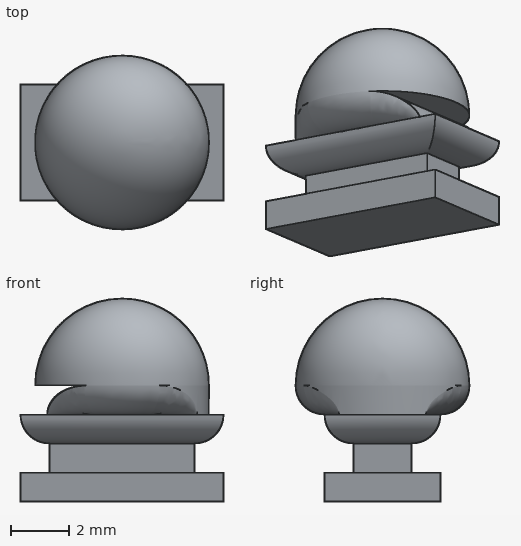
import cadquery as cq
import math

step = 1.0
length = 7.0
width = 4.0
neck_length = length - 2 * step
neck_width = width - 2 * step

drum_radius = 3.0
drum_bottom = 3 * step
drum_top = drum_bottom + step

undercut_angle = math.radians(60)
undercut_half_length = drum_radius * math.sin(undercut_angle)
flat_half_length = 1.3
ellipse_reach = undercut_half_length - flat_half_length

cove_tip = 2.58
cove_flat = 1.25

tip_turn = math.radians(1.8)
fade_sections = 8


def slab(slab_length, slab_width, bottom):
    """Centred rectangular block one step tall."""
    block = cq.Workplane().box(slab_length, slab_width, step, centered=(True, True, False))
    return block.translate((0, 0, bottom))


def rounded_profile(plane, span, depth):
    """Prism whose lower two edges are rounded over the full step height."""
    half = span / 2
    top = drum_bottom
    return (
        cq.Workplane(plane)
        .moveTo(-half, top)
        .radiusArc((-half + step, top - step), -step)
        .lineTo(half - step, top - step)
        .radiusArc((half, top), -step)
        .close()
        .extrude(depth, both=True)
    )


def rounded_plate():
    """Plate with rounded lower edges that meet in mitred corners."""
    return rounded_profile("XZ", length, length).intersect(rounded_profile("YZ", width, length))


def undercut_section(x, height):
    """Radial section outside a rounded lower edge whose radius equals the height."""
    angle = math.asin(x / drum_radius)

    def at(radius, rise):
        """Point in the radial plane, measured from the drum axis and bottom."""
        return cq.Vector(radius * math.sin(angle), -radius * math.cos(angle), drum_bottom + rise)

    floor_start = at(drum_radius - height, 0)
    wall_end = at(drum_radius, height)
    diagonal = height * math.sqrt(0.5)
    arc_middle = at(drum_radius - height + diagonal, height - diagonal)
    outer_top = at(drum_radius + height, height)
    outer_bottom = at(drum_radius + height, 0)
    return cq.Wire.assembleEdges([
        cq.Edge.makeThreePointArc(floor_start, arc_middle, wall_end),
        cq.Edge.makeLine(wall_end, outer_top),
        cq.Edge.makeLine(outer_top, outer_bottom),
        cq.Edge.makeLine(outer_bottom, floor_start),
    ])


def side_undercut():
    """Tool that rounds the lower drum edge on -Y: constant in the middle, fading at both ends."""
    sections = []
    for index in range(fade_sections + 1):
        turn = math.pi / 2 + (tip_turn - math.pi / 2) * index / fade_sections
        x = flat_half_length + ellipse_reach * math.cos(turn)
        sections.append(undercut_section(x, step * math.sin(turn)))
    right_end = cq.Workplane(cq.Solid.makeLoft(sections))

    flat_angle = 2 * math.degrees(math.asin(flat_half_length / drum_radius))
    first_face = cq.Face.makeFromWires(undercut_section(-flat_half_length, step))
    axis_start = cq.Vector(0, 0, 0)
    axis_end = cq.Vector(0, 0, 1)
    middle = cq.Workplane(cq.Solid.revolve(first_face, flat_angle, axis_start, axis_end))
    return [middle, right_end, right_end.mirror("YZ")]


def end_cove():
    """Tool that hollows the -X side of the drum up to the underside of the dome."""
    depth = drum_radius - cove_flat
    block = cq.Workplane().box(depth, 2 * drum_radius, step, centered=(False, True, False))
    elliptic_core = (
        cq.Workplane("XZ")
        .center(-cove_flat, drum_bottom)
        .ellipse(cove_tip - cove_flat, step)
        .extrude(drum_radius, both=True)
    )
    return block.translate((-drum_radius, 0, drum_bottom)).cut(elliptic_core)


def drum():
    """Short cylinder undercut along both long sides and hollowed at the -X end."""
    body = cq.Workplane().circle(drum_radius).extrude(step).translate((0, 0, drum_bottom))
    body = body.cut(end_cove())
    for undercut in side_undercut():
        body = body.cut(undercut).cut(undercut.mirror("XZ"))
    return body


def dome():
    """Upper half of a sphere resting on the drum."""
    return cq.Workplane().sphere(drum_radius, angle1=0).translate((0, 0, drum_top))


result = slab(length, width, 0).union(slab(neck_length, neck_width, step))
result = result.union(rounded_plate()).union(drum()).union(dome())